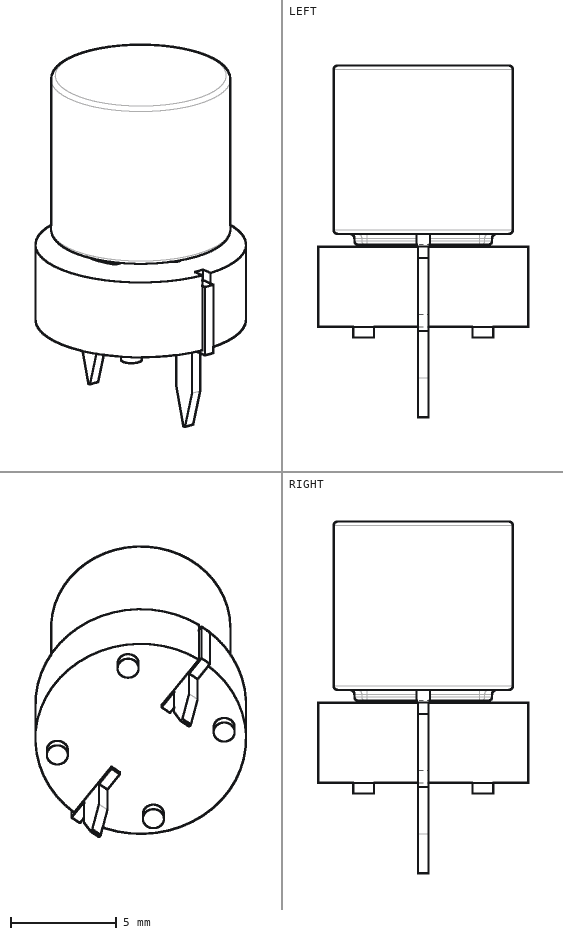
import cadquery as cq

overall_height = 16.7
overall_width = 10.4
overlap = 0.17

capsule_diameter = 8.52
capsule_height = 8.0
capsule_round = 0.2
capsule_bottom = overall_height - capsule_height

boss_diameter = 6.55
boss_width = 3.27
boss_height = 0.5
boss_corner_round = 0.27
boss_root_round = 0.2
boss_rim_round = 0.17

lead_diameter = 0.62
lead_spacing = 5.08
lead_gap = 0.6

base_diameter = 10.0
base_height = 3.8
base_top = capsule_bottom - lead_gap
base_bottom = base_top - base_height
foot_diameter = 1.0
foot_height = 0.5
foot_spacing = 5.66

terminal_thickness = 0.5
terminal_arm_width = 0.78
terminal_drop = 0.53
terminal_inner_x = 2.0
terminal_outer_x = overall_width / 2
terminal_top = base_top - terminal_drop
terminal_arm_inner_x = terminal_outer_x - terminal_arm_width
terminal_underside = base_bottom - (overall_width - base_diameter) / 2
terminal_elbow_z = terminal_underside + terminal_arm_width
leg_centre_x = 3.6
leg_width = 1.2
leg_tip_width = 0.13
leg_taper_height = 1.87


def make_capsule():
    """Cylinder with rounded rims, carrying the boss on its underside."""
    can = (
        cq.Workplane("XY", origin=(0, 0, capsule_bottom))
        .circle(capsule_diameter / 2)
        .extrude(capsule_height)
        .faces("<Z or >Z")
        .edges()
        .fillet(capsule_round)
    )
    boss_bottom = capsule_bottom - boss_height
    boss_full_height = boss_height + overlap
    flats = (
        cq.Workplane("XY", origin=(0, 0, boss_bottom))
        .rect(boss_width, boss_diameter)
        .extrude(boss_full_height)
    )
    boss = (
        cq.Workplane("XY", origin=(0, 0, boss_bottom))
        .circle(boss_diameter / 2)
        .extrude(boss_full_height)
        .intersect(flats)
    )
    boss = boss.edges("|Z").fillet(boss_corner_round)
    boss = boss.faces("<Z").edges().fillet(boss_rim_round)
    joined = can.union(boss)
    reach = boss_diameter / 2 + overlap
    root_edges = cq.selectors.BoxSelector(
        (-reach, -reach, capsule_bottom - overlap / 2),
        (reach, reach, capsule_bottom + overlap / 2),
        boundingbox=True,
    )
    return joined.edges(root_edges).fillet(boss_root_round)


def make_leads():
    """Two round leads that join the capsule to the base."""
    return (
        cq.Workplane("XY", origin=(0, 0, base_top - overlap))
        .pushPoints([(-lead_spacing / 2, 0), (lead_spacing / 2, 0)])
        .circle(lead_diameter / 2)
        .extrude(lead_gap + 2 * overlap)
    )


def extrude_strip(side, outline):
    """Extrude an X-Z outline to the terminal thickness, on the +X (1) or -X (-1) side."""
    return (
        cq.Workplane("XZ")
        .polyline([(side * x, z) for x, z in outline])
        .close()
        .extrude(terminal_thickness / 2, both=True)
    )


def make_terminal_slot(side):
    """Cutter for the slot that seats a terminal; its side part is open at the base top."""
    outline = [
        (terminal_outer_x, base_top),
        (terminal_arm_inner_x, base_top),
        (terminal_arm_inner_x, terminal_elbow_z),
        (terminal_inner_x, terminal_elbow_z),
        (terminal_inner_x, terminal_underside),
        (terminal_outer_x, terminal_underside),
    ]
    return extrude_strip(side, outline)


def make_base():
    """Round base with four feet below and a slot for a terminal on each side."""
    base = (
        cq.Workplane("XY", origin=(0, 0, base_bottom))
        .circle(base_diameter / 2)
        .extrude(base_height)
    )
    feet = (
        cq.Workplane("XY", origin=(0, 0, base_bottom - foot_height))
        .rect(foot_spacing, foot_spacing, forConstruction=True)
        .vertices()
        .circle(foot_diameter / 2)
        .extrude(foot_height + overlap)
    )
    base = base.union(feet)
    for side in (-1, 1):
        base = base.cut(make_terminal_slot(side))
    return base


def make_terminal(side):
    """Flat terminal: side arm up the base, arm under the base, pointed leg below."""
    leg_outer_x = leg_centre_x + leg_width / 2
    leg_inner_x = leg_centre_x - leg_width / 2
    outline = [
        (terminal_outer_x, terminal_top),
        (terminal_arm_inner_x, terminal_top),
        (terminal_arm_inner_x, terminal_elbow_z),
        (terminal_inner_x, terminal_elbow_z),
        (terminal_inner_x, terminal_underside),
        (leg_inner_x, terminal_underside),
        (leg_inner_x, leg_taper_height),
        (leg_centre_x - leg_tip_width / 2, 0),
        (leg_centre_x + leg_tip_width / 2, 0),
        (leg_outer_x, leg_taper_height),
        (leg_outer_x, terminal_underside),
        (terminal_outer_x, terminal_underside),
    ]
    return extrude_strip(side, outline)


housing = make_base().union(make_leads()).union(make_capsule())
terminals = [make_terminal(side) for side in (-1, 1)]

result = cq.Compound.makeCompound([housing.val(), *[terminal.val() for terminal in terminals]])